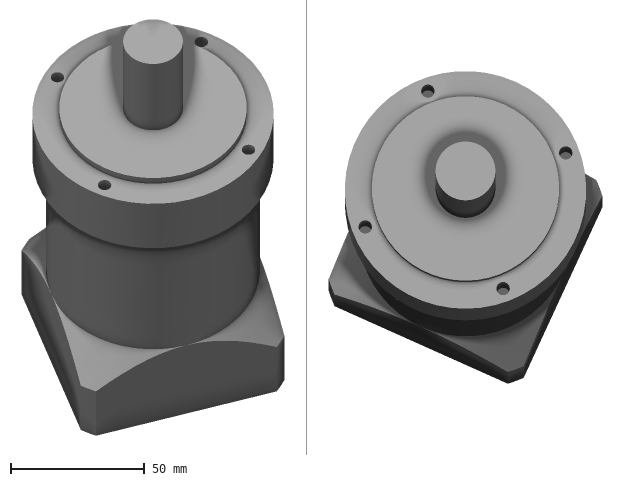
import cadquery as cq

total_height = 166.5
corner_top = 25.0
adapter_top = 38.5
ring_top = 51.5
flange_bottom = 101.0
flange_top = 126.0
pilot_top = 129.2

shaft_diameter = 22.3
pilot_diameter = 70.0
flange_diameter = 90.0
body_diameter = 80.0
adapter_width = body_diameter

hole_count = 4
hole_diameter = 5.0
hole_circle_diameter = 80.0
hole_depth = 12.5
first_hole_angle = 45


def cylinder(diameter, bottom, top):
    """Solid cylinder on the Z axis between two heights."""
    return cq.Workplane("XY").workplane(offset=bottom).circle(diameter / 2).extrude(top - bottom)


def motor_adapter():
    """Square block whose corners are turned round and bevelled by a 45 degree cone."""
    block = cq.Workplane("XY").rect(adapter_width, adapter_width).extrude(adapter_top)
    top_radius = body_diameter / 2
    corner_radius = top_radius + (adapter_top - corner_top)
    turned_envelope = (
        cq.Workplane("XZ")
        .moveTo(0, 0)
        .lineTo(corner_radius, 0)
        .lineTo(corner_radius, corner_top)
        .lineTo(top_radius, adapter_top)
        .lineTo(0, adapter_top)
        .close()
        .revolve(360, (0, 0, 0), (0, 1, 0))
    )
    return block.intersect(turned_envelope)


def mounting_holes():
    """Cutters for the blind holes sunk into the flange face."""
    return (
        cq.Workplane("XY")
        .workplane(offset=flange_top)
        .polarArray(hole_circle_diameter / 2, first_hole_angle, 360, hole_count)
        .circle(hole_diameter / 2)
        .extrude(-hole_depth)
    )


end_ring = cylinder(body_diameter, adapter_top, ring_top)
gear_housing = cylinder(body_diameter, ring_top, flange_bottom)
flange = cylinder(flange_diameter, flange_bottom, flange_top).cut(mounting_holes())
pilot = cylinder(pilot_diameter, flange_top, pilot_top)
shaft = cylinder(shaft_diameter, pilot_top, total_height)

result = motor_adapter()
for stage in (end_ring, gear_housing, flange, pilot, shaft):
    result = result.union(stage, clean=False)